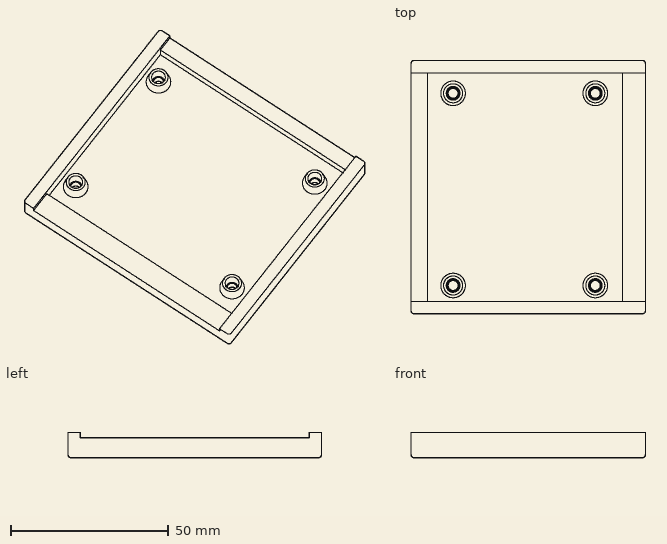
import cadquery as cq

length_x = 74.4
length_y = 80.5
height = 8.05
edge_radius = 1.0

floor_thickness = 3.0
end_wall = 3.95
left_wall = 5.2
right_wall = 7.25
side_wall_drop = 1.6

standoff_base_diameter = 7.8
standoff_top_diameter = 6.0
standoff_height = 3.5
spacing_x = 45.15
spacing_y = 61.0
center_offset_x = -1.3
center_offset_y = -0.7

bore_top_diameter = 4.35
bore_bottom_diameter = 3.8
through_diameter = 3.1


def make_body():
    """Block with rounded vertical corners and a rounded bottom edge."""
    block = cq.Workplane("XY").box(length_x, length_y, height, centered=(True, True, False))
    return block.edges("|Z").fillet(edge_radius).faces("<Z").edges().fillet(edge_radius)


def make_pocket():
    """Space above the floor, between the four walls."""
    center_x = (left_wall - right_wall) / 2
    return (
        cq.Workplane("XY", origin=(center_x, 0, floor_thickness))
        .rect(length_x - left_wall - right_wall, length_y - 2 * end_wall)
        .extrude(height)
    )


def make_side_notch():
    """Space above both lowered X walls, running the whole width."""
    return (
        cq.Workplane("XY", origin=(0, 0, height - side_wall_drop))
        .rect(2 * length_x, length_y - 2 * end_wall)
        .extrude(height)
    )


def make_frustum(bottom_diameter, top_diameter):
    """Cone frustum as tall as a standoff, resting on the floor and centred on the Z axis."""
    return (
        cq.Workplane("XY", origin=(0, 0, floor_thickness))
        .circle(bottom_diameter / 2)
        .workplane(offset=standoff_height)
        .circle(top_diameter / 2)
        .loft()
    )


def make_hole():
    """Tapered bore down to the floor, continued by a narrow hole through the floor."""
    through_hole = cq.Workplane("XY").circle(through_diameter / 2).extrude(height)
    return make_frustum(bore_bottom_diameter, bore_top_diameter).union(through_hole)


standoff = make_frustum(standoff_base_diameter, standoff_top_diameter)
hole = make_hole()

result = make_body().cut(make_pocket()).cut(make_side_notch())
for side_x in (-1, 1):
    for side_y in (-1, 1):
        place = (center_offset_x + side_x * spacing_x / 2, center_offset_y + side_y * spacing_y / 2, 0)
        result = result.union(standoff.translate(place)).cut(hole.translate(place))